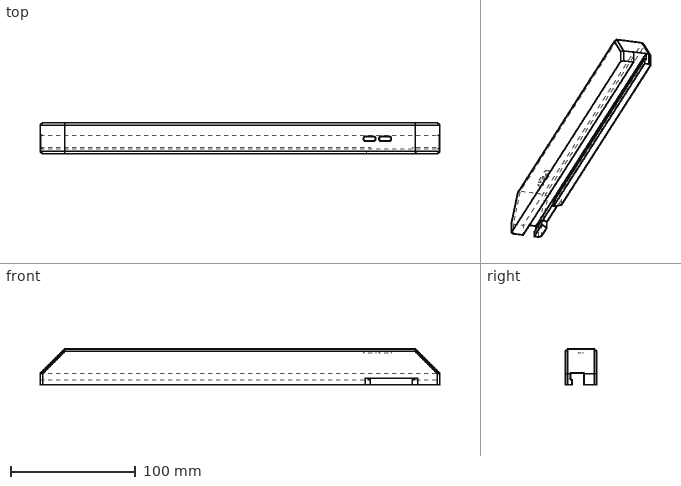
import cadquery as cq

LENGTH = 321.0
WIDTH = 25.0
HEIGHT = 29.0
END_HEIGHT = 9.0
EDGE_BEVEL = 2.0

CHANNEL_BACK_Y = 2.2
LIP_Y = -7.0
UNDERCUT_Y = -8.5
LIP_HEIGHT = 4.2
CHANNEL_HEIGHT = 9.3

WINDOW_START_X = 261.0
WINDOW_END_X = 303.2
WINDOW_HEIGHT = 5.0
WINDOW_TAPER = 4.2

RECESS_LENGTH = 10.0
RECESS_WIDTH = 4.0
INSERT_GAP = 0.2
INSERT_DEPTH = 3.2
INSERT_FIRST_X = 264.5
INSERT_PITCH = 12.5
INSERT_Y = -0.4
INSERT_COUNT = 2


def bevelled_prism(start_x, end_x, direction):
    """Plan rectangle with bevelled corners, extruded from Z = 0 along a direction in the XZ plane."""
    side = WIDTH / 2
    flat = side - EDGE_BEVEL
    plan = [
        (start_x, -flat),
        (start_x + EDGE_BEVEL, -side),
        (end_x - EDGE_BEVEL, -side),
        (end_x, -flat),
        (end_x, flat),
        (end_x - EDGE_BEVEL, side),
        (start_x + EDGE_BEVEL, side),
        (start_x, flat),
    ]
    wire = cq.Workplane("XY").polyline(plan).close().val()
    return cq.Workplane(cq.Solid.extrudeLinear(wire, [], cq.Vector(*direction) * HEIGHT))


def bar():
    """Bar with sloped ends, bevelled all round except at its underside.

    It is what is left inside an upright prism with bevelled corners, a prism with a bevelled
    top that runs along X, and one leaning prism for each 45 degree slope.
    """
    upright = bevelled_prism(0, LENGTH, (0, 0, 1))
    lengthwise = (
        cq.Workplane("XY")
        .box(LENGTH, WIDTH, HEIGHT, centered=(False, True, False))
        .faces(">Z")
        .edges("|X")
        .chamfer(EDGE_BEVEL)
    )
    lean_right = bevelled_prism(-END_HEIGHT, LENGTH + HEIGHT, (1, 0, 1))
    lean_left = bevelled_prism(-HEIGHT, LENGTH + END_HEIGHT, (-1, 0, 1))
    return upright.intersect(lengthwise).intersect(lean_right).intersect(lean_left)


def channel():
    """Open channel running the whole length of the underside."""
    section = [
        (CHANNEL_BACK_Y, 0),
        (CHANNEL_BACK_Y, CHANNEL_HEIGHT),
        (UNDERCUT_Y, CHANNEL_HEIGHT),
        (UNDERCUT_Y, LIP_HEIGHT),
        (LIP_Y, LIP_HEIGHT),
        (LIP_Y, 0),
    ]
    return cq.Workplane("YZ").polyline(section).close().extrude(LENGTH)


def window():
    """Tapered opening from the -Y side to the channel."""
    outline = [
        (WINDOW_START_X, -WIDTH / 2),
        (WINDOW_END_X, -WIDTH / 2),
        (WINDOW_END_X - WINDOW_TAPER, LIP_Y),
        (WINDOW_START_X + WINDOW_TAPER, LIP_Y),
    ]
    return cq.Workplane("XY").polyline(outline).close().extrude(WINDOW_HEIGHT)


def top_slot(center_x, gap):
    """Round-ended block reaching up to the top of the bar, smaller than the recess by the gap."""
    return (
        cq.Workplane("XY", origin=(center_x, INSERT_Y, HEIGHT - INSERT_DEPTH))
        .slot2D(RECESS_LENGTH - 2 * gap, RECESS_WIDTH - 2 * gap)
        .extrude(INSERT_DEPTH)
    )


def insert(center_x):
    """Insert standing on the floor of its recess, flush with the top of the housing."""
    return top_slot(center_x, INSERT_GAP)


def housing_body(insert_centers):
    """Bar with its channel, its window and one recess for each insert."""
    body = bar().cut(channel()).cut(window())
    for center_x in insert_centers:
        body = body.cut(top_slot(center_x, 0))
    return body


insert_centers = [INSERT_FIRST_X + i * INSERT_PITCH for i in range(INSERT_COUNT)]
housing = housing_body(insert_centers)
inserts = [insert(center_x) for center_x in insert_centers]

result = cq.Compound.makeCompound([housing.val(), *[body.val() for body in inserts]])